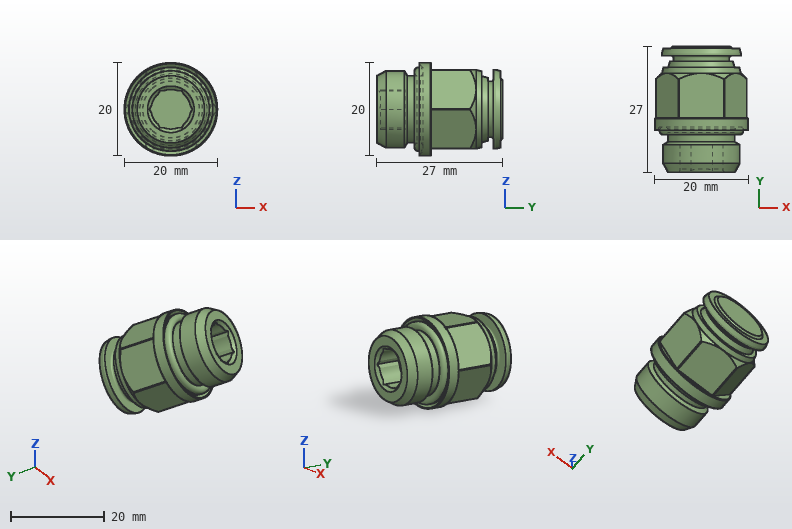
import cadquery as cq
import math

length = 27.0

thread_radius = 8.25
thread_relief_radius = 7.2
thread_lead_end = 1.95
thread_end = 5.89
thread_relief_start = 6.5

flange_radius = 10.004
flange_start = 9.02
flange_end = 11.66
flange_chamfer = 0.2
seat_rim_radius = 9.77
seat_floor_radius = 8.96
seat_depth = 0.78

seal_section_radius = 0.95
seal_outer_radius = 9.02
seal_squeeze = 0.08

wrench_size = 17.0
hex_corner_radius = 9.75
cap_start = 21.28
cap_end = 22.5
cap_base_radius = 8.48
cap_top_radius = 8.15

collet_end = 23.85
collet_base_radius = 7.15
collet_top_radius = 6.75
neck_radius = 6.02
neck_fillet = 0.4
collar_start = 24.95
collar_band_end = 25.5
collar_end = 26.55
collar_radius = 8.5
collar_top_radius = 8.2
nose_base_radius = 6.67
nose_top_radius = 6.13

socket_mouth_radius = 5.0
socket_bore_radius = 4.25
socket_key_size = 8.0
socket_depth = 5.95


def hexagon_prism(across_flats, start, end):
    """Hexagonal prism along Y with corners on the X axis and flats facing Z."""
    corner_diameter = across_flats / math.cos(math.radians(30))
    plane = cq.Workplane("XZ", origin=(0, start, 0))
    return plane.polygon(6, corner_diameter).extrude(start - end)


def turned(profile):
    """Solid of revolution about Y from a closed profile drawn as (radius, Y)."""
    return profile.close().revolve(360, (0, 0, 0), (0, 1, 0))


def threaded_end_and_flange():
    return turned(
        cq.Workplane("XY")
        .moveTo(0, 0)
        .lineTo(thread_relief_radius, 0)
        .lineTo(thread_radius, thread_lead_end)
        .lineTo(thread_radius, thread_end)
        .lineTo(thread_relief_radius, thread_relief_start)
        .lineTo(thread_relief_radius, flange_start + seat_depth)
        .lineTo(seat_floor_radius, flange_start + seat_depth)
        .lineTo(seat_rim_radius, flange_start)
        .lineTo(flange_radius, flange_start)
        .lineTo(flange_radius, flange_end - flange_chamfer)
        .lineTo(flange_radius - flange_chamfer, flange_end)
        .lineTo(0, flange_end)
    )


def sealing_ring():
    centre_radius = seal_outer_radius - seal_section_radius
    centre_y = flange_start + seat_depth + seal_squeeze - seal_section_radius
    section = cq.Workplane("XY").center(centre_radius, centre_y).circle(seal_section_radius)
    return section.revolve(360, (-centre_radius, 0, 0), (-centre_radius, 1, 0))


def hexagonal_body():
    """Wrench hexagon with blunted corners and a 45 degree chamfer up to the conical cap."""
    corner_chamfer = hex_corner_radius - cap_base_radius
    envelope = turned(
        cq.Workplane("XY")
        .moveTo(0, flange_end)
        .lineTo(hex_corner_radius, flange_end)
        .lineTo(hex_corner_radius, cap_start - corner_chamfer)
        .lineTo(cap_base_radius, cap_start)
        .lineTo(0, cap_start)
    )
    return hexagon_prism(wrench_size, flange_end, cap_start).intersect(envelope)


def cap_collet_and_collar():
    fillet_offset = neck_fillet * (1 - math.cos(math.radians(45)))
    return turned(
        cq.Workplane("XY")
        .moveTo(0, cap_start)
        .lineTo(cap_base_radius, cap_start)
        .lineTo(cap_top_radius, cap_end)
        .lineTo(collet_base_radius, cap_end)
        .lineTo(collet_top_radius, collet_end)
        .lineTo(neck_radius, collet_end)
        .lineTo(neck_radius, collar_start - neck_fillet)
        .threePointArc(
            (neck_radius + fillet_offset, collar_start - fillet_offset),
            (neck_radius + neck_fillet, collar_start),
        )
        .lineTo(collar_radius, collar_start)
        .lineTo(collar_radius, collar_band_end)
        .lineTo(collar_top_radius, collar_end)
        .lineTo(nose_base_radius, collar_end)
        .lineTo(nose_top_radius, length)
        .lineTo(0, length)
    )


def key_socket():
    """Blind hexagon joined with a round bore, opening in a 45 degree countersink."""
    countersink = turned(
        cq.Workplane("XY")
        .moveTo(0, 0)
        .lineTo(socket_mouth_radius, 0)
        .lineTo(0, socket_mouth_radius)
    )
    bore = cq.Workplane("XZ").circle(socket_bore_radius).extrude(-socket_depth)
    return hexagon_prism(socket_key_size, 0, socket_depth).union(bore).union(countersink)


result = (
    threaded_end_and_flange()
    .union(sealing_ring())
    .union(hexagonal_body())
    .union(cap_collet_and_collar())
    .cut(key_socket())
)